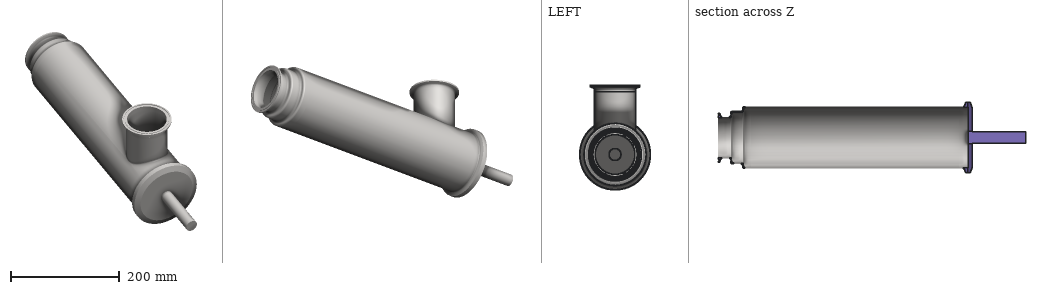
import cadquery as cq
import math

WELD_JOINT = 12.0
SMALL_OD = 76.5
SMALL_BORE = 73.0
SMALL_FLANGE_OD = 91.0
SMALL_RIM = 3.0
SMALL_NECK_RADIUS = 3.0
GROOVE_OD = 85.5
GROOVE_ID = 81.5
GROOVE_DEPTH = 1.0

MIDDLE_OD = 97.0
MIDDLE_BORE = 92.5
SHELL_OD = 114.0
SHELL_BORE = 110.0
FIRST_STEP_X = 22.5
SECOND_STEP_X = 44.5
STEP_RADIUS = 3.5
STEP_WALL = 2.0

SHELL_START_X = 60.0
SHELL_END_X = 442.5
BRANCH_X = 390.5
BRANCH_TOP_Z = 127.0
BRANCH_WELD = 2.0

LARGE_FLANGE_OD = 130.0
LARGE_RIM = 4.5
LARGE_NECK_RADIUS = 1.5
JOINT_X = 459.0
CAP_END_X = 467.5
CONE_SLOPE = math.tan(math.radians(20))

ROD_OD = 22.0
ROD_END_X = 565.0


def revolve_about_x(profile):
    return profile.close().revolve(360, (0, 0, 0), (1, 0, 0))


def start_at(x, radius):
    return cq.Workplane("XY").moveTo(x, radius)


def cone_length(outer_diameter, inner_diameter):
    """Axial length of a clamp cone between two diameters."""
    return (outer_diameter - inner_diameter) / 2 * CONE_SLOPE


def fillet_neck(ferrule, x, radius, fillet_radius):
    """Fillet the circular edge of the given radius where a clamp cone meets its pipe."""
    margin = 0.3
    neck = cq.selectors.BoxSelector(
        (x - margin, -radius - margin, -radius - margin),
        (x + margin, radius + margin, radius + margin),
        boundingbox=True,
    )
    return ferrule.edges("%CIRCLE").edges(neck).fillet(fillet_radius)


def make_small_ferrule():
    """Clamp ferrule with its face at X = 0 and its pipe end toward +X."""
    cone_end = SMALL_RIM + cone_length(SMALL_FLANGE_OD, SMALL_OD)
    ferrule = revolve_about_x(
        start_at(0, SMALL_BORE / 2)
        .lineTo(0, GROOVE_ID / 2)
        .lineTo(GROOVE_DEPTH, GROOVE_ID / 2)
        .lineTo(GROOVE_DEPTH, GROOVE_OD / 2)
        .lineTo(0, GROOVE_OD / 2)
        .lineTo(0, SMALL_FLANGE_OD / 2)
        .lineTo(SMALL_RIM, SMALL_FLANGE_OD / 2)
        .lineTo(cone_end, SMALL_OD / 2)
        .lineTo(WELD_JOINT, SMALL_OD / 2)
        .lineTo(WELD_JOINT, SMALL_BORE / 2)
    )
    return fillet_neck(ferrule, cone_end, SMALL_OD / 2, SMALL_NECK_RADIUS)


def solid_reducer(small_radius, middle_radius, large_radius, wall_offset):
    """Stepped round body with a concave and a convex fillet at each step."""
    r = STEP_RADIUS
    profile = start_at(WELD_JOINT, 0).lineTo(WELD_JOINT, small_radius)
    steps = [
        (FIRST_STEP_X + wall_offset, small_radius, middle_radius),
        (SECOND_STEP_X + wall_offset, middle_radius, large_radius),
    ]
    for x, low, high in steps:
        profile = (
            profile.lineTo(x - r, low)
            .tangentArcPoint((x, low + r), relative=False)
            .lineTo(x, high - r)
            .tangentArcPoint((x + r, high), relative=False)
        )
    return revolve_about_x(profile.lineTo(SHELL_START_X, large_radius).lineTo(SHELL_START_X, 0))


def make_reducer():
    outside = solid_reducer(SMALL_OD / 2, MIDDLE_OD / 2, SHELL_OD / 2, 0)
    inside = solid_reducer(SMALL_BORE / 2, MIDDLE_BORE / 2, SHELL_BORE / 2, STEP_WALL)
    return outside.cut(inside)


def shell_cylinder(diameter):
    length = SHELL_END_X - SHELL_START_X
    return cq.Workplane("YZ", origin=(SHELL_START_X, 0, 0)).circle(diameter / 2).extrude(length)


def branch_cylinder(diameter):
    return cq.Workplane("XY", origin=(BRANCH_X, 0, 0)).circle(diameter / 2).extrude(BRANCH_TOP_Z - WELD_JOINT)


def make_shell():
    """Main tube with the branch pipe standing on it."""
    outside = shell_cylinder(SHELL_OD).union(branch_cylinder(SMALL_OD))
    saddle = cq.selectors.BoxSelector(
        (BRANCH_X - SMALL_OD, -SMALL_OD, SHELL_OD / 4),
        (BRANCH_X + SMALL_OD, SMALL_OD, SHELL_OD / 2),
    )
    outside = outside.edges(saddle).fillet(BRANCH_WELD)
    return outside.cut(shell_cylinder(SHELL_BORE)).cut(branch_cylinder(SMALL_BORE))


def make_shell_flange():
    rim_start = JOINT_X - LARGE_RIM
    cone_start = rim_start - cone_length(LARGE_FLANGE_OD, SHELL_OD)
    ferrule = revolve_about_x(
        start_at(SHELL_END_X, SHELL_BORE / 2)
        .lineTo(SHELL_END_X, SHELL_OD / 2)
        .lineTo(cone_start, SHELL_OD / 2)
        .lineTo(rim_start, LARGE_FLANGE_OD / 2)
        .lineTo(JOINT_X, LARGE_FLANGE_OD / 2)
        .lineTo(JOINT_X, SHELL_BORE / 2)
    )
    return fillet_neck(ferrule, cone_start, SHELL_OD / 2, LARGE_NECK_RADIUS)


def make_end_cap():
    """Blank flange with a through hole for the rod."""
    rim_end = JOINT_X + LARGE_RIM
    face_radius = LARGE_FLANGE_OD / 2 - (CAP_END_X - rim_end) / CONE_SLOPE
    return revolve_about_x(
        start_at(JOINT_X, ROD_OD / 2)
        .lineTo(JOINT_X, LARGE_FLANGE_OD / 2)
        .lineTo(rim_end, LARGE_FLANGE_OD / 2)
        .lineTo(CAP_END_X, face_radius)
        .lineTo(CAP_END_X, ROD_OD / 2)
    )


def make_rod():
    """Rod flush with the inner face of the end cap."""
    return cq.Workplane("YZ", origin=(JOINT_X, 0, 0)).circle(ROD_OD / 2).extrude(ROD_END_X - JOINT_X)


small_ferrules = [
    make_small_ferrule(),
    make_small_ferrule().rotate((0, 0, 0), (0, 1, 0), 90).translate((BRANCH_X, 0, BRANCH_TOP_Z)),
]
reducer = make_reducer()
shell = make_shell()
shell_flange = make_shell_flange()
end_cap = make_end_cap()
rod = make_rod()

result = cq.Compound.makeCompound([
    *[ferrule.val() for ferrule in small_ferrules],
    reducer.val(),
    shell.val(),
    shell_flange.val(),
    end_cap.val(),
    rod.val(),
])